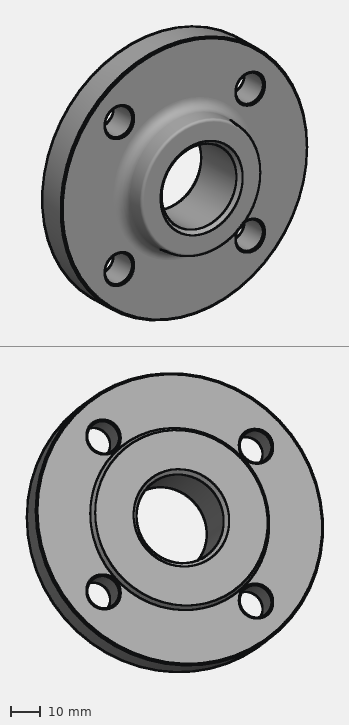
import cadquery as cq
import math

plate_start = 2.0
plate_thickness = 12.0
plate_end = plate_start + plate_thickness
total_length = 24.0

plate_radius = 100.0 / 2
face_radius = 60.0 / 2
face_bevel_angle = 30.0
face_base_radius = face_radius + plate_start * math.tan(math.radians(face_bevel_angle))
hub_end_radius = 24.2
hub_taper_angle = 5.0
hub_length = total_length - plate_end
hub_base_radius = hub_end_radius + hub_length * math.tan(math.radians(hub_taper_angle))
hub_root_fillet = 4.0
hub_end_fillet = 1.0
edge_chamfer = 0.5

bore_radius = 30.3 / 2
bore_chamfer = 1.5

bolt_circle_diameter = 75.0
bolt_hole_radius = 11.0 / 2
bolt_hole_chamfer = 0.5
bolt_count = 4
first_bolt_angle = 45.0


def round_circle(body, place, radius, fillet_radius):
    """Fillet the circular edge at the given axial place and radius."""
    margin = 0.1
    outer_extent = radius + margin
    box = cq.selectors.BoxSelector(
        (place - margin, -outer_extent, -outer_extent),
        (place + margin, outer_extent, outer_extent),
        boundingbox=True,
    )
    return body.edges(box).fillet(fillet_radius)


def make_body():
    """Revolve the flange outline, drawn as (axial place, radius), about X."""
    body = (
        cq.Workplane("XY")
        .moveTo(0, 0)
        .lineTo(0, face_radius)
        .lineTo(plate_start, face_base_radius)
        .lineTo(plate_start, plate_radius - edge_chamfer)
        .lineTo(plate_start + edge_chamfer, plate_radius)
        .lineTo(plate_end - edge_chamfer, plate_radius)
        .lineTo(plate_end, plate_radius - edge_chamfer)
        .lineTo(plate_end, hub_base_radius)
        .lineTo(total_length, hub_end_radius)
        .lineTo(total_length, 0)
        .close()
        .revolve(360, (0, 0), (1, 0))
    )
    body = round_circle(body, plate_end, hub_base_radius, hub_root_fillet)
    return round_circle(body, total_length, hub_end_radius, hub_end_fillet)


def make_hole_cutter(start, end, radius, chamfer):
    """Make a cylinder along X that widens by the chamfer at both ends."""
    mouth_radius = radius + chamfer
    return (
        cq.Workplane("XY")
        .moveTo(start, 0)
        .lineTo(start, mouth_radius)
        .lineTo(start + chamfer, radius)
        .lineTo(end - chamfer, radius)
        .lineTo(end, mouth_radius)
        .lineTo(end, 0)
        .close()
        .revolve(360, (0, 0), (1, 0))
    )


def cut_bolt_holes(body):
    """Cut the ring of bolt holes through the plate."""
    cutter = make_hole_cutter(plate_start, plate_end, bolt_hole_radius, bolt_hole_chamfer)
    first_hole = cutter.translate((0, bolt_circle_diameter / 2, 0))
    for index in range(bolt_count):
        angle = first_bolt_angle + index * 360 / bolt_count
        body = body.cut(first_hole.rotate((0, 0, 0), (1, 0, 0), angle))
    return body


bore_cutter = make_hole_cutter(0, total_length, bore_radius, bore_chamfer)
result = cut_bolt_holes(make_body().cut(bore_cutter))